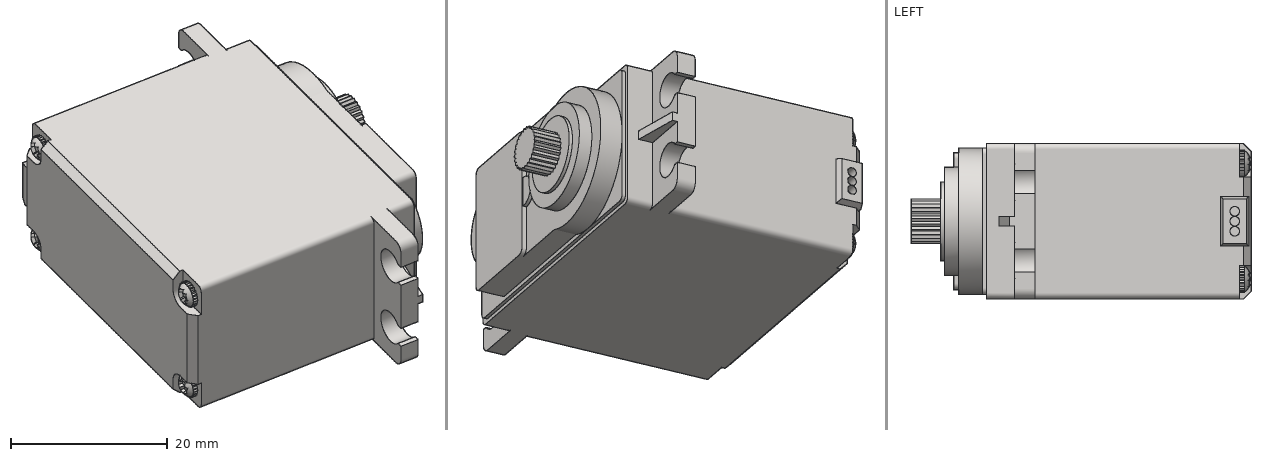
import cadquery as cq
import math


case_length = 40.25
shoulder_length = 39.55
case_width = 19.85
case_top_y = 33.8
case_corner_radius = 0.75
cover_chamfer = 1.0

ear_span = 53.05
ear_bottom_y = 27.6
ear_top_y = 30.2
ear_corner_radius = 1.2
ear_hole_diameter = 4.6
ear_hole_x = 24.05
ear_hole_z = 5.0
ear_slot_width = 2.9
rib_width = 1.2
rib_root_y = 32.2
rib_tip_y = 30.85

screw_x = 17.6
screw_z = 7.35
screw_head_diameter = 3.3
screw_rim_diameter = 3.45
screw_dome_y = 0.85
knurl_depth = 0.15
knurl_teeth = 24
pocket_floor_y = 1.5
pocket_inner_x = 15.75
pocket_inner_z = 5.6
pocket_radius = 1.75
recess_span = 2.1
recess_arm_width = 1.1
recess_depth = 0.8
recess_taper = 14
recess_turns = {(-1, 1): 33, (1, 1): 24, (-1, -1): 35, (1, -1): -6}

connector_y = 2.1
connector_height = 3.6
connector_width = 6.35
connector_bevel = 0.3
connector_inner_x = -19.3
connector_outer_x = -21.1
contact_diameter = 1.2
contact_count = 3
contact_pitch = 1.25
contact_depth = 1.6

cover_corner_radius = 0.8
gasket_length = 38.4
gasket_width = 18.7
gasket_top_y = 34.25
output_x = -9.8
gear_cover_top_y = 37.35
gear_cover_width = 17.5
gear_cover_end_x = 13.75
tail_diameter = 11.65
tail_x = 10.45
plate_start_x = 1.15
plate_top_y = 38.0
disc_diameter = 4.1
disc_x = 1.1
disc_top_y = 37.8

boss_diameter = 13.85
boss_top_y = 39.15
collar_diameter = 10.1
collar_top_y = 39.6
spline_top_y = 43.4
spline_diameter = 5.75
spline_tooth_depth = 0.25
spline_teeth = 25


def section(y):
    """Workplane across the servo axis: local x is X, local y is Z."""
    return cq.Workplane("XZ", origin=(0, y, 0))


def block(x_from, x_to, width, y_from, y_to):
    """Box centred on z = 0."""
    length = x_to - x_from
    outline = section(y_from).center((x_from + x_to) / 2, 0).rect(length, width)
    return outline.extrude(y_from - y_to)


def disc(x, diameter, y_from, y_to):
    """Cylinder along Y centred on z = 0."""
    return section(y_from).center(x, 0).circle(diameter / 2).extrude(y_from - y_to)


def toothed_outline(place, diameter, tooth_depth, teeth):
    """Closed ring of pointed teeth around the centre of a workplane."""
    points = []
    for corner in range(2 * teeth):
        radius = diameter / 2 - tooth_depth * (corner % 2)
        angle = math.pi * corner / teeth
        points.append((radius * math.cos(angle), radius * math.sin(angle)))
    return place.polyline(points).close()


def case():
    cover = block(-case_length / 2, case_length / 2, case_width, 0, pocket_floor_y)
    lower = block(-case_length / 2, case_length / 2, case_width, pocket_floor_y, ear_top_y)
    shoulder = block(-shoulder_length / 2, shoulder_length / 2, case_width, ear_bottom_y, case_top_y)
    gasket = block(-gasket_length / 2, gasket_length / 2, gasket_width, case_top_y, gasket_top_y)
    return (
        lower.edges("|Y").fillet(case_corner_radius)
        .union(cover.faces("<Y").chamfer(cover_chamfer))
        .union(shoulder.edges("|Y").fillet(case_corner_radius))
        .union(gasket.edges("|Y").fillet(cover_corner_radius))
    )


def ears():
    plate = block(-ear_span / 2, ear_span / 2, case_width, ear_bottom_y, ear_top_y)
    plate = plate.edges("|Y").fillet(ear_corner_radius)
    for side_x in (-1, 1):
        for side_z in (-1, 1):
            hole = section(ear_bottom_y).center(side_x * ear_hole_x, side_z * ear_hole_z)
            plate = plate.cut(hole.circle(ear_hole_diameter / 2).extrude(ear_bottom_y - ear_top_y))
            slot = section(ear_bottom_y).center(side_x * ear_span / 2, side_z * ear_hole_z)
            slot = slot.rect(ear_span - 2 * ear_hole_x, ear_slot_width)
            plate = plate.cut(slot.extrude(ear_bottom_y - ear_top_y))
    rib = (
        cq.Workplane("XY", origin=(0, 0, -rib_width / 2))
        .polyline([
            (-ear_span / 2, ear_top_y),
            (ear_span / 2, ear_top_y),
            (ear_span / 2, rib_tip_y),
            (shoulder_length / 2, rib_root_y),
            (-shoulder_length / 2, rib_root_y),
            (-ear_span / 2, rib_tip_y),
        ])
        .close()
        .extrude(rib_width)
    )
    return plate.union(rib)


def corner_pocket(side_x, side_z):
    """Corner cut, reaching well outside the case, whose inner upright edge is rounded."""
    size_x = case_length - pocket_inner_x
    size_z = case_width - pocket_inner_z
    centre_x = side_x * (pocket_inner_x + size_x / 2)
    centre_z = side_z * (pocket_inner_z + size_z / 2)
    outline = section(0).center(centre_x, centre_z).rect(size_x, size_z)
    return outline.extrude(-pocket_floor_y).edges("|Y").fillet(pocket_radius)


def screw_head(side_x, side_z, turn):
    """Domed head with a knurled rim and a tapered cross recess turned by the given angle."""
    x = side_x * screw_x
    z = side_z * screw_z
    rim = toothed_outline(section(pocket_floor_y).center(x, z), screw_rim_diameter, knurl_depth, knurl_teeth)
    rim = rim.extrude(pocket_floor_y - screw_dome_y)
    dome_radius = screw_head_diameter / 2
    sphere_radius = (dome_radius ** 2 + screw_dome_y ** 2) / (2 * screw_dome_y)
    ball = cq.Workplane("XY").sphere(sphere_radius).translate((x, sphere_radius, z))
    dome = section(screw_dome_y).center(x, z).circle(dome_radius).extrude(screw_dome_y)
    head = rim.union(dome.intersect(ball))
    for angle in (turn, turn + 90):
        arm = section(0).center(x, z)
        arm = arm.transformed(rotate=(0, 0, angle)).rect(recess_span, recess_arm_width)
        head = head.cut(arm.extrude(-recess_depth, taper=recess_taper))
    return head


def connector():
    """Plug housing that narrows outside the case beside the cover."""
    face = cq.Workplane("YZ", origin=(connector_inner_x, connector_y, 0))
    inner_length = case_length / 2 + connector_inner_x
    body = face.rect(connector_height, connector_width).extrude(-inner_length)
    bevel_length = -connector_outer_x - case_length / 2
    nose = (
        cq.Workplane("YZ", origin=(-case_length / 2, connector_y, 0))
        .rect(connector_height, connector_width)
        .workplane(offset=-bevel_length)
        .rect(connector_height - 2 * connector_bevel, connector_width - 2 * connector_bevel)
        .loft()
    )
    return body.union(nose)


def contact_holes():
    return (
        cq.Workplane("YZ", origin=(connector_outer_x, connector_y, 0))
        .rarray(0.55, contact_pitch, 1, contact_count)
        .circle(contact_diameter / 2)
        .extrude(contact_depth)
    )


def gear_cover():
    round_end = disc(output_x, gasket_width, gasket_top_y, gear_cover_top_y)
    straight = block(output_x, gear_cover_end_x, gear_cover_width, gasket_top_y, gear_cover_top_y)
    tail = disc(tail_x, tail_diameter, gasket_top_y, gear_cover_top_y)
    plate = block(plate_start_x, gear_cover_end_x, gear_cover_width, gear_cover_top_y, plate_top_y)
    return (
        straight.edges("|Y and >X").fillet(cover_corner_radius)
        .union(round_end)
        .union(tail)
        .union(plate.edges("|Y").fillet(cover_corner_radius))
        .union(disc(disc_x, disc_diameter, gear_cover_top_y, disc_top_y))
    )


def spline():
    """Toothed shaft with pointed teeth."""
    outline = toothed_outline(section(collar_top_y).center(output_x, 0), spline_diameter,
                              spline_tooth_depth, spline_teeth)
    return outline.extrude(collar_top_y - spline_top_y)


def output_shaft():
    boss = disc(output_x, boss_diameter, gear_cover_top_y, boss_top_y)
    collar = disc(output_x, collar_diameter, boss_top_y, collar_top_y)
    return boss.union(collar).union(spline())


result = case().union(ears())
for (side_x, side_z), turn in recess_turns.items():
    result = result.cut(corner_pocket(side_x, side_z))
    result = result.union(screw_head(side_x, side_z, turn))
result = result.union(connector()).cut(contact_holes())
result = result.union(gear_cover()).union(output_shaft())